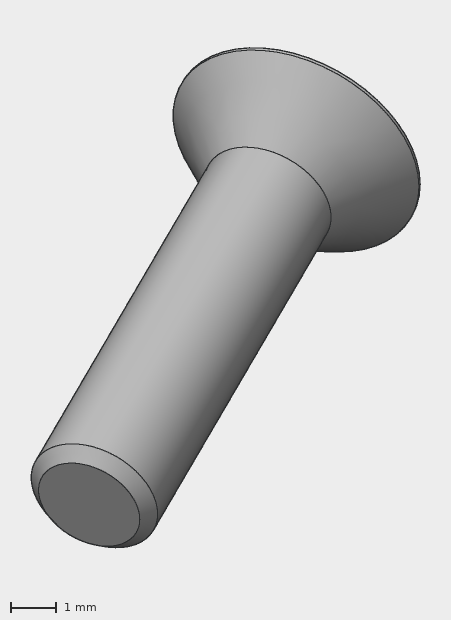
import cadquery as cq

head_diameter = 5.83
shank_diameter = 3.0
overall_length = 12.0
head_height = 1.7
rim_height = 0.08
tip_chamfer = 0.3

head_radius = head_diameter / 2
shank_radius = shank_diameter / 2


def screw_body():
    """Revolve the half profile of head, shank and chamfered tip about the Y axis."""
    half_profile = (
        cq.Workplane("XY")
        .moveTo(0, 0)
        .lineTo(head_radius, 0)
        .lineTo(head_radius, -rim_height)
        .lineTo(shank_radius, -head_height)
        .lineTo(shank_radius, -overall_length + tip_chamfer)
        .lineTo(shank_radius - tip_chamfer, -overall_length)
        .lineTo(0, -overall_length)
        .close()
    )
    return half_profile.revolve(360, (0, 0, 0), (0, 1, 0))


result = screw_body()